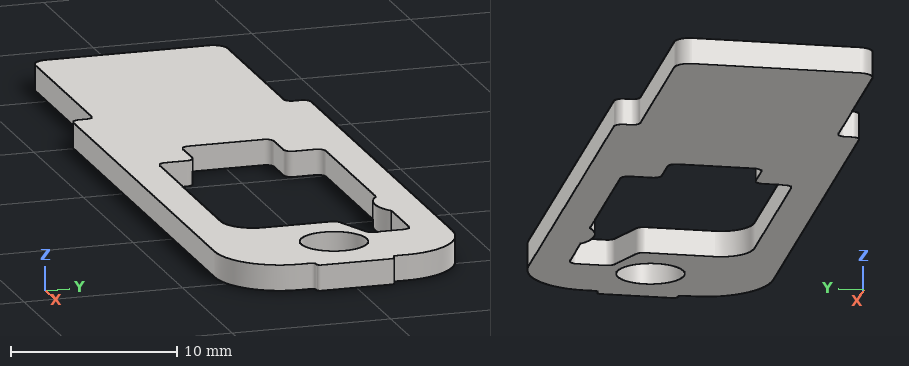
import cadquery as cq

length = 46.3
width = 15.0
thickness = 1.6

tongue_length = 12.7
tongue_width = 12.15
tongue_corner_radius = 0.93
shoulder_outer_radius = 0.5
shoulder_inner_radius = 0.45

tab_height = 0.55
tab_width = 4.9
tab_radius = 0.25
end_radius = 4.1
body_end = length - tab_height

hole_diameter = 4.1
hole_x = 41.75

window_left = 22.85
window_right = 37.7
window_half_width = 5.25
window_corner_radius = 0.5
window_large_radius = 2.05
notch_left = 19.95
notch_half_width = 2.85
arm_right = 40.6
slope_low_y = 1.45
slope_high_y = 2.6

bump_x = 35.05
bump_half_chord = 1.57
bump_height = 0.55


def round_corners(solid, corners, radius):
    """Fillet the vertical edges standing at the given XY corners."""
    for x, y in corners:
        edge = cq.selectors.NearestToPointSelector((x, y, thickness / 2))
        solid = solid.edges("|Z").edges(edge).fillet(radius)
    return solid


def mirrored(x, y):
    """Return a corner and its mirror image across the X axis."""
    return [(x, y), (x, -y)]


def box_between(x_start, x_end, size_y):
    """Make a full-thickness block centred on the X axis."""
    return cq.Workplane("XY").box(
        x_end - x_start, size_y, thickness, centered=(False, True, False)
    ).translate((x_start, 0, 0))


def make_plate():
    plate = box_between(tongue_length, body_end, width)
    plate = plate.union(box_between(0, tongue_length, tongue_width))
    plate = plate.union(box_between(body_end, length, tab_width))
    plate = round_corners(plate, mirrored(0, tongue_width / 2), tongue_corner_radius)
    plate = round_corners(plate, mirrored(tongue_length, width / 2), shoulder_outer_radius)
    plate = round_corners(plate, mirrored(tongue_length, tongue_width / 2), shoulder_inner_radius)
    plate = round_corners(plate, mirrored(body_end, width / 2), end_radius)
    for tab_x in (body_end, length):
        plate = round_corners(plate, mirrored(tab_x, tab_width / 2), tab_radius)
    return plate


def make_window():
    small_corners = [
        (notch_left, -notch_half_width),
        (notch_left, notch_half_width),
        (window_left, notch_half_width),
        (window_left, window_half_width),
        (arm_right, window_half_width),
        (arm_right, slope_high_y),
        (window_right, slope_low_y),
    ]
    large_corner = (window_right, -window_half_width)
    lower_corners = [
        (window_left, -window_half_width),
        (window_left, -notch_half_width),
    ]
    outline = small_corners + [large_corner] + lower_corners
    window = cq.Workplane("XY").polyline(outline).close().extrude(thickness)
    window = round_corners(window, small_corners + lower_corners, window_corner_radius)
    return round_corners(window, [large_corner], window_large_radius)


def make_bump():
    return (
        cq.Workplane("XY")
        .moveTo(bump_x - bump_half_chord, window_half_width)
        .threePointArc(
            (bump_x, window_half_width - bump_height),
            (bump_x + bump_half_chord, window_half_width),
        )
        .close()
        .extrude(thickness)
    )


def make_hole():
    return cq.Workplane("XY").center(hole_x, 0).circle(hole_diameter / 2).extrude(thickness)


window_opening = make_window().cut(make_bump())
result = make_plate().cut(window_opening).cut(make_hole())